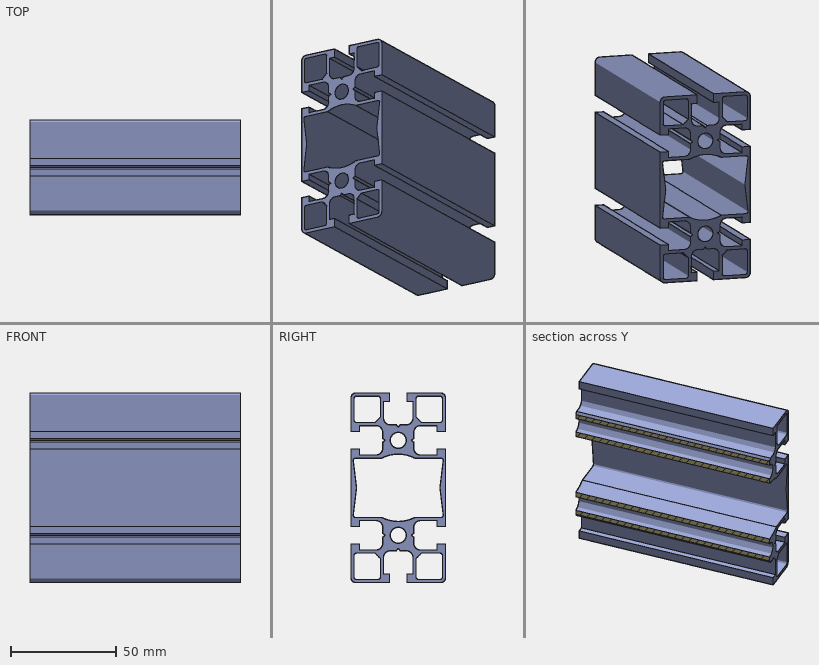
import cadquery as cq

length = 100.0
cell = 45.0
height = 2 * cell
half_cell = cell / 2
outer_radius = 2.5

slot_opening = 8.2
slot_chamber_width = 13.8
lip_thickness = 4.2
slot_depth = 15.1
slot_corner_radius = 3.1
notch_width = 1.8
notch_depth = 1.1

bore_diameter = 7.5

wall = 1.6
hollow_size = half_cell - slot_chamber_width / 2 - 2 * wall
hollow_radius = 1.1
hollow_chamfer = 2.5

hollow_half_height = half_cell - slot_chamber_width / 2 - wall
side_wall_at_ends = 1.1
side_wall_at_middle = 2.8
middle_hollow_radius = 1.0
arch_half_width = 7.9
arch_rise = 1.9


def section():
    """Workplane for the profile: local X is along Y, local Y is along Z."""
    return cq.Workplane("YZ").workplane(offset=-length / 2)


def box_along_x(width, depth):
    """Rectangular bar, width along Y and depth along Z, running the full length."""
    return section().rect(width, depth).extrude(length)


def t_slot():
    """T-slot cutter opening toward +Z, with its mouth at Z = 0."""
    chamber_depth = slot_depth - lip_thickness
    chamber = (
        box_along_x(slot_chamber_width, chamber_depth)
        .edges("|X and <Z")
        .fillet(slot_corner_radius)
        .translate((0, 0, -lip_thickness - chamber_depth / 2))
    )
    mouth = box_along_x(slot_opening, 2 * lip_thickness)
    notch = (
        section()
        .moveTo(-notch_width / 2, -slot_depth)
        .lineTo(0, -slot_depth - notch_depth)
        .lineTo(notch_width / 2, -slot_depth)
        .close()
        .extrude(length)
    )
    return chamber.union(mouth).union(notch)


def corner_hollow():
    """Square hollow of the +Y +Z corner: its core-side corner is chamfered, the others are rounded."""
    center_y = half_cell - wall - hollow_size / 2
    center_z = height / 2 - wall - hollow_size / 2
    return (
        box_along_x(hollow_size, hollow_size)
        .edges("|X and (>Y or >Z)")
        .fillet(hollow_radius)
        .edges("|X and <Y and <Z")
        .chamfer(hollow_chamfer)
        .translate((0, center_y, center_z))
    )


def middle_hollow():
    """Large hollow with side walls thickest at mid-height and arched floor and ceiling."""
    end_y = half_cell - side_wall_at_ends
    middle_y = half_cell - side_wall_at_middle
    top = hollow_half_height
    crown = top + arch_rise
    hollow = (
        section()
        .moveTo(end_y, -top)
        .lineTo(middle_y, 0)
        .lineTo(end_y, top)
        .lineTo(arch_half_width, top)
        .threePointArc((0, crown), (-arch_half_width, top))
        .lineTo(-end_y, top)
        .lineTo(-middle_y, 0)
        .lineTo(-end_y, -top)
        .lineTo(-arch_half_width, -top)
        .threePointArc((0, -crown), (arch_half_width, -top))
        .close()
        .extrude(length)
    )
    return hollow.edges("|X and (<Y or >Y)").fillet(middle_hollow_radius)


def upper_cell_cuts():
    """Everything removed from the upper cell: three slots, the bore and two corner hollows."""
    cuts = section().circle(bore_diameter / 2).extrude(length)
    slot = t_slot().translate((0, 0, half_cell))
    for angle in (0, 90, -90):
        cuts = cuts.union(slot.rotate((0, 0, 0), (1, 0, 0), angle))
    cuts = cuts.translate((0, 0, half_cell))
    hollow = corner_hollow()
    return cuts.union(hollow).union(hollow.mirror("XZ"))


blank = box_along_x(cell, height).edges("|X").fillet(outer_radius)
upper_cuts = upper_cell_cuts()
lower_cuts = upper_cuts.mirror("XY")
result = blank.cut(upper_cuts).cut(lower_cuts).cut(middle_hollow())